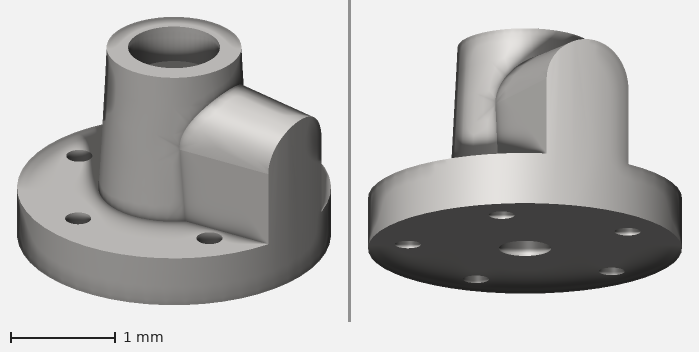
import cadquery as cq
import math

flange_diameter = 3.0
flange_radius = flange_diameter / 2
flange_thickness = 0.5

hub_height = 1.5
hub_base_radius = 0.723
hub_draft = 3.0
total_height = flange_thickness + hub_height

bore_diameter = 0.5
counterbore_diameter = 0.88
counterbore_depth = 0.37

bolt_hole_count = 5
bolt_hole_diameter = 0.25
bolt_circle_radius = 1.125
first_bolt_angle = 180.0

arm_axis_height = flange_thickness + 0.75
arm_root_radius = 0.555
arm_draft = 5.0


def make_flange():
    return cq.Workplane("XY").circle(flange_radius).extrude(flange_thickness)


def make_hub():
    return (
        cq.Workplane("XY")
        .workplane(offset=flange_thickness)
        .circle(hub_base_radius)
        .extrude(hub_height, taper=hub_draft)
    )


def make_arm():
    tip_radius = arm_root_radius - flange_radius * math.tan(math.radians(arm_draft))
    round_top = cq.Workplane("XY").add(
        cq.Solid.makeCone(
            arm_root_radius,
            tip_radius,
            flange_radius,
            cq.Vector(0, 0, arm_axis_height),
            cq.Vector(1, 0, 0),
        )
    )
    walls = (
        cq.Workplane("XY")
        .polyline([
            (0, -arm_root_radius),
            (flange_radius, -tip_radius),
            (flange_radius, tip_radius),
            (0, arm_root_radius),
        ])
        .close()
        .extrude(arm_axis_height)
    )
    rim = cq.Workplane("XY").circle(flange_radius).extrude(total_height)
    return round_top.union(walls).intersect(rim)


def make_bore():
    through_bore = cq.Workplane("XY").circle(bore_diameter / 2).extrude(total_height)
    counterbore = (
        cq.Workplane("XY")
        .workplane(offset=total_height - counterbore_depth)
        .circle(counterbore_diameter / 2)
        .extrude(counterbore_depth)
    )
    return through_bore.union(counterbore)


def make_bolt_holes():
    return (
        cq.Workplane("XY")
        .polarArray(bolt_circle_radius, first_bolt_angle, 360, bolt_hole_count)
        .circle(bolt_hole_diameter / 2)
        .extrude(flange_thickness)
    )


body = make_flange().union(make_hub()).union(make_arm())
result = body.cut(make_bore()).cut(make_bolt_holes())